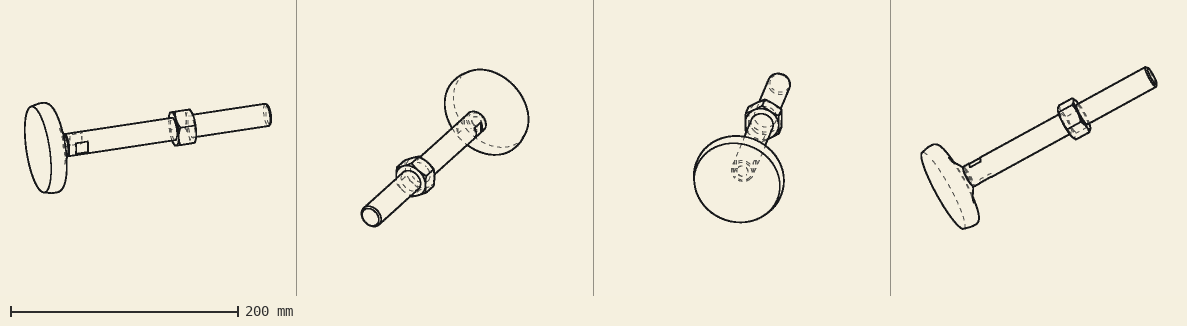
import cadquery as cq
import math

total_length = 213.0

foot_radius = 40.0
sole_radius = 38.3
taper_height = 7.2
rim_top = 11.0
rim_fillet = 4.0
shoulder_radius = 11.7
shoulder_height = 24.0
foot_top_radius = 8.5
foot_top = 25.3

rod_radius = 10.0
rod_start = 26.0
rod_chamfer = 1.5
neck_radius = rod_radius / 2

flats_width = 17.0
flats_start = 32.4
flats_length = 11.0

nut_sides = 6
nut_width = 29.8
nut_start = 125.5
nut_height = 16.2
nut_chamfer_angle = 30.0


def make_foot():
    """Tapered disc with a rounded rim, rising in a concave flare to a bevelled shoulder."""
    flare_radius_outer = foot_radius - rim_fillet
    flare_bottom = rim_top + rim_fillet
    diagonal = rim_fillet * math.sqrt(0.5)

    run = flare_radius_outer - shoulder_radius
    rise = shoulder_height - flare_bottom
    flare_arc = (run**2 + rise**2) / (2 * rise)
    half_sweep = math.asin(run / flare_arc) / 2
    flare_middle = (
        flare_radius_outer - flare_arc * math.sin(half_sweep),
        flare_bottom + flare_arc * (1 - math.cos(half_sweep)),
    )

    return (
        cq.Workplane("XY")
        .lineTo(sole_radius, 0)
        .lineTo(foot_radius, taper_height)
        .lineTo(foot_radius, rim_top)
        .threePointArc(
            (flare_radius_outer + diagonal, rim_top + diagonal),
            (flare_radius_outer, flare_bottom),
        )
        .threePointArc(flare_middle, (shoulder_radius, shoulder_height))
        .lineTo(foot_top_radius, foot_top)
        .lineTo(0, foot_top)
        .close()
        .revolve(360, (0, 0, 0), (0, 1, 0))
    )


def cylinder_along_y(radius, start, length):
    return cq.Workplane("XZ", origin=(0, start, 0)).circle(radius).extrude(-length)


def make_rod():
    """Chamfered rod with two opposite wrench flats facing -X and +X."""
    rod = cylinder_along_y(rod_radius, rod_start, total_length - rod_start)
    rod = rod.faces(">Y").chamfer(rod_chamfer)
    for side in (-1, 1):
        cutter = cq.Workplane("XY").box(rod_radius, flats_length, 2 * rod_radius)
        offset = side * (flats_width + rod_radius) / 2
        rod = rod.cut(cutter.translate((offset, flats_start + flats_length / 2, 0)))
    return rod


def make_nut():
    """Hexagon with flats on -X and +X, its corners turned off by cones at both ends."""
    corner_radius = nut_width / 2 / math.cos(math.pi / nut_sides)
    end_radius = nut_width / 2
    cone_depth = (corner_radius - end_radius) * math.tan(math.radians(nut_chamfer_angle))
    nut_end = nut_start + nut_height

    hexagon = (
        cq.Workplane("XZ", origin=(0, nut_start, 0))
        .polygon(nut_sides, 2 * corner_radius)
        .extrude(-nut_height)
        .rotate((0, 0, 0), (0, 1, 0), 180 / nut_sides)
    )
    envelope = (
        cq.Workplane("XY")
        .moveTo(0, nut_start)
        .lineTo(end_radius, nut_start)
        .lineTo(corner_radius, nut_start + cone_depth)
        .lineTo(corner_radius, nut_end - cone_depth)
        .lineTo(end_radius, nut_end)
        .lineTo(0, nut_end)
        .close()
        .revolve(360, (0, 0, 0), (0, 1, 0))
    )
    return hexagon.intersect(envelope)


neck = cylinder_along_y(neck_radius, foot_top, rod_start - foot_top)

result = make_foot().union(neck).union(make_rod()).union(make_nut())